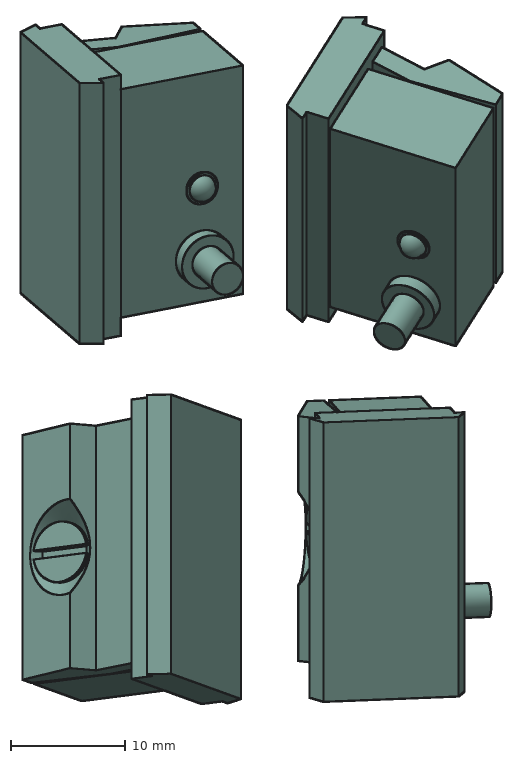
import cadquery as cq
import math

rail_length = 25.0
foot_width = 13.8
rail_width = 12.0
foot_depth = 1.9
rail_depth = 4.0
lip = (foot_width - rail_width) / 2

total_depth = 16.0
body_height = 21.9
body_bottom = (rail_length - body_height) / 2
block_width = 8.15
block_left = 4.4
block_right = block_left + block_width

jaw_tip_x, jaw_tip_y = 0.5, 10.0
jaw_root_x, jaw_root_y = 2.42, 8.5
arm_end_inner_x = 3.92
arm_foot_outer_x = 1.42
arm_foot_inner_x = 3.42
knee_x, knee_y = 4.3, 7.95

axis_y = 12.0
screw_z = rail_length / 2
shaft_radius = 1.5
head_radius = 2.7
head_face_x = 2.1
head_rim_x = 2.45
head_end_x = head_rim_x + head_radius - shaft_radius
slot_width = 0.8
slot_floor_x = 2.9
shaft_end_x = block_right + 0.15
ball_radius = 1.25

pin_z = 5.9
collar_radius = 2.5
pin_radius = 1.5
pin_length = 4.0
collar_end_x = foot_width


def prism(points, bottom, height):
    """Closed XY outline extruded upward along Z."""
    return cq.Workplane("XY").workplane(offset=bottom).polyline(points).close().extrude(height)


def rod(start_x, end_x, radius, z):
    """Cylinder along X on the common screw and pin height above the foot."""
    plane = cq.Workplane("YZ", origin=(start_x, axis_y, z))
    return plane.circle(radius).extrude(end_x - start_x)


def screw_axis_plane():
    """XY workplane with its local X axis lying on the screw axis."""
    return cq.Workplane("XY", origin=(0, axis_y, screw_z))


def revolve_about_x(profile):
    return profile.revolve(360, (0, 0, 0), (1, 0, 0))


def make_countersink():
    """Cutter that opens toward -X and narrows to the shaft radius at the end of the head."""
    mouth_radius = shaft_radius + head_end_x
    outline = [(0, 0), (0, mouth_radius), (head_end_x, shaft_radius), (head_end_x, 0)]
    return revolve_about_x(screw_axis_plane().polyline(outline).close())


def make_rail():
    outline = [
        (lip, 0),
        (lip + rail_width, 0),
        (foot_width, foot_depth),
        (lip + rail_width, foot_depth),
        (lip + rail_width, rail_depth),
        (lip, rail_depth),
        (lip, foot_depth),
        (0, foot_depth),
    ]
    return prism(outline, 0, rail_length)


def make_block():
    outline = [
        (block_left, rail_depth),
        (block_right, rail_depth),
        (block_right, total_depth),
        (block_left, total_depth),
    ]
    return prism(outline, body_bottom, body_height)


def make_arm():
    outline = [
        (arm_foot_outer_x, rail_depth),
        (arm_foot_inner_x, rail_depth),
        (knee_x, knee_y),
        (arm_end_inner_x, total_depth),
        (jaw_root_x, total_depth),
        (jaw_tip_x, jaw_tip_y),
        (jaw_root_x, jaw_root_y),
    ]
    return prism(outline, body_bottom, body_height).cut(make_countersink())


def make_screw():
    ball_edge_radius = math.sqrt(ball_radius**2 - (shaft_end_x - block_right) ** 2)
    ball_middle = ball_radius * math.sqrt(0.5)
    screw = revolve_about_x(
        screw_axis_plane()
        .moveTo(head_face_x, 0)
        .lineTo(head_face_x, head_radius)
        .lineTo(head_rim_x, head_radius)
        .lineTo(head_end_x, shaft_radius)
        .lineTo(shaft_end_x, shaft_radius)
        .lineTo(shaft_end_x, ball_edge_radius)
        .threePointArc((block_right + ball_middle, ball_middle), (block_right + ball_radius, 0))
        .close()
    )
    slot = cq.Workplane("YZ", origin=(head_face_x, axis_y, screw_z)).rect(2 * head_radius, slot_width)
    return screw.cut(slot.extrude(slot_floor_x - head_face_x))


def make_pin():
    collar = rod(block_right, collar_end_x, collar_radius, pin_z)
    return collar.union(rod(collar_end_x, collar_end_x + pin_length, pin_radius, pin_z))


result = make_rail().union(make_block()).union(make_arm()).union(make_screw()).union(make_pin())